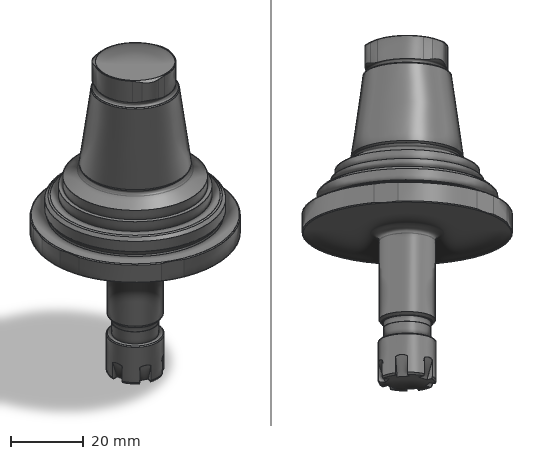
import cadquery as cq
import math

height = 97.0

nut_radius = 16.0 / 2
nut_top = 11.9
nut_top_chamfer = 0.3
nut_bottom_chamfer = 0.3
nut_bottom_chamfer_height = 0.6
slot_count = 6
slot_width = 3.3
slot_height = 5.7
slot_floor_radius = 5.8

neck_radius = 13.0 / 2
collar_radius = 13.2 / 2
collar_bottom = 15.7
shank_radius = 15.5 / 2
shank_bottom = 18.1
shank_chamfer = 0.6
shank_chamfer_height = 0.8
root_fillet = 2.3

flange_radius = 29.0
flange_bottom = 43.2
flange_top = 49.1
flange_chamfer = 0.3
flat_distance = 28.8
flat_angles = (0, 180, 240, 270, 300)

relief_radius = 48.1 / 2
relief_flare = 0.4
ring_radius = 50.0 / 2
ring_bottom = 50.8
ring_top = 55.2
ring_edge_radius = 24.1
ring_edge_drop = 0.2
ring_top_radius = 23.5
ring_chamfer = ring_radius - ring_edge_radius
lower_step_radius = 42.4 / 2
lower_step_top = 58.2
upper_step_radius = 40.0 / 2
upper_step_top = 61.1

shoulder_radius = 16.0
shoulder_top = 63.4
relief_arc_radius = 15.4
relief_arc_height = 63.9
taper_base_radius = 15.5
taper_base = 65.2
taper_relief_radius = 15.2
taper_relief_top = 64.6
taper_top_radius = 12.2
taper_top = 88.7
taper_top_chamfer = 0.3

cap_radius = 11.3
cap_bottom = 90.2
cap_face_radius = 11.0
cap_bevel_slope = 0.5
cap_neck_radius = 11.0
cap_neck_height = 89.5
lobe_count = 3
lobe_peak_radius = 12.0
lobe_half_angle = math.radians(24.5)
lobe_arc_x = 11.4
lobe_arc_half_width = 2.4


def revolved_body():
    """Revolve the half section of the whole part, from the nut up to the cap."""
    fillet_mid = root_fillet * (1 - math.sqrt(0.5))
    profile = (
        cq.Workplane("XZ")
        .lineTo(nut_radius - nut_bottom_chamfer, 0)
        .lineTo(nut_radius, nut_bottom_chamfer_height)
        .lineTo(nut_radius, nut_top - nut_top_chamfer)
        .lineTo(nut_radius - nut_top_chamfer, nut_top)
        .lineTo(neck_radius, nut_top)
        .lineTo(neck_radius, collar_bottom)
        .lineTo(collar_radius, collar_bottom)
        .lineTo(collar_radius, shank_bottom - shank_chamfer_height)
        .lineTo(shank_radius - shank_chamfer, shank_bottom - shank_chamfer_height)
        .lineTo(shank_radius, shank_bottom)
        .lineTo(shank_radius, flange_bottom - root_fillet)
        .threePointArc(
            (shank_radius + fillet_mid, flange_bottom - fillet_mid),
            (shank_radius + root_fillet, flange_bottom),
        )
        .lineTo(flange_radius - flange_chamfer, flange_bottom)
        .lineTo(flange_radius, flange_bottom + flange_chamfer)
        .lineTo(flange_radius, flange_top - flange_chamfer)
        .lineTo(flange_radius - flange_chamfer, flange_top)
        .lineTo(relief_radius + relief_flare, flange_top)
        .lineTo(relief_radius, flange_top + relief_flare)
        .lineTo(relief_radius, ring_bottom - relief_flare)
        .lineTo(relief_radius + relief_flare, ring_bottom)
        .lineTo(ring_radius, ring_bottom)
        .lineTo(ring_radius, ring_top - ring_edge_drop - ring_chamfer)
        .lineTo(ring_edge_radius, ring_top - ring_edge_drop)
        .lineTo(ring_top_radius, ring_top)
        .lineTo(lower_step_radius, ring_top)
        .lineTo(lower_step_radius, lower_step_top)
        .lineTo(upper_step_radius, lower_step_top)
        .lineTo(upper_step_radius, upper_step_top)
        .lineTo(shoulder_radius, shoulder_top)
        .threePointArc(
            (relief_arc_radius, relief_arc_height),
            (taper_relief_radius, taper_relief_top),
        )
        .lineTo(taper_base_radius, taper_base)
        .lineTo(taper_top_radius, taper_top)
        .lineTo(taper_top_radius - taper_top_chamfer, taper_top + taper_top_chamfer)
        .threePointArc((cap_neck_radius, cap_neck_height), (cap_radius, cap_bottom))
        .lineTo(cap_radius, height)
        .lineTo(0, height)
        .close()
    )
    return profile.revolve(360, (0, 0, 0), (0, 1, 0))


def cap_lobe(angle):
    """One lobe of the cap, undercut by a 45 degree cone."""
    root_x = cap_radius * math.cos(lobe_half_angle)
    root_y = cap_radius * math.sin(lobe_half_angle)
    prism = (
        cq.Workplane("XY", origin=(0, 0, cap_bottom))
        .lineTo(root_x, -root_y)
        .lineTo(lobe_arc_x, -lobe_arc_half_width)
        .threePointArc((lobe_peak_radius, 0), (lobe_arc_x, lobe_arc_half_width))
        .lineTo(root_x, root_y)
        .close()
        .extrude(height - cap_bottom)
    )
    lobe_rise = lobe_peak_radius - cap_radius
    envelope_radius = cap_radius + 2 * lobe_rise
    envelope = (
        cq.Workplane("XZ")
        .moveTo(0, cap_bottom)
        .lineTo(cap_radius, cap_bottom)
        .lineTo(envelope_radius, cap_bottom + 2 * lobe_rise)
        .lineTo(envelope_radius, height)
        .lineTo(0, height)
        .close()
        .revolve(360, (0, 0, 0), (0, 1, 0))
    )
    return prism.intersect(envelope).rotate((0, 0, 0), (0, 0, 1), angle)


def cap_bevel():
    """Material above the conical bevel that surrounds the top face."""
    outside = cap_radius + lobe_peak_radius
    bevel_drop = cap_bevel_slope * (outside - cap_face_radius)
    return (
        cq.Workplane("XZ")
        .moveTo(cap_face_radius, height)
        .lineTo(outside, height)
        .lineTo(outside, height - bevel_drop)
        .close()
        .revolve(360, (0, 0, 0), (0, 1, 0))
    )


def rim_flat(angle):
    """Material outside one flat of the flange rim."""
    return (
        cq.Workplane("XY", origin=(0, 0, flange_bottom))
        .rect(flange_radius, flange_radius)
        .extrude(flange_top - flange_bottom)
        .translate((flat_distance + flange_radius / 2, 0, 0))
        .rotate((0, 0, 0), (0, 0, 1), angle)
    )


def nut_slot(angle):
    """Wrench slot whose sloping floor runs out on the side of the nut."""
    outside = 2 * nut_radius
    return (
        cq.Workplane("XZ")
        .moveTo(slot_floor_radius, 0)
        .lineTo(nut_radius, slot_height)
        .lineTo(outside, slot_height)
        .lineTo(outside, 0)
        .close()
        .extrude(slot_width / 2, both=True)
        .rotate((0, 0, 0), (0, 0, 1), angle)
    )


result = revolved_body()
for index in range(lobe_count):
    result = result.union(cap_lobe(index * 360 / lobe_count))
result = result.cut(cap_bevel())
for flat_angle in flat_angles:
    result = result.cut(rim_flat(flat_angle))
for index in range(slot_count):
    result = result.cut(nut_slot(index * 360 / slot_count))